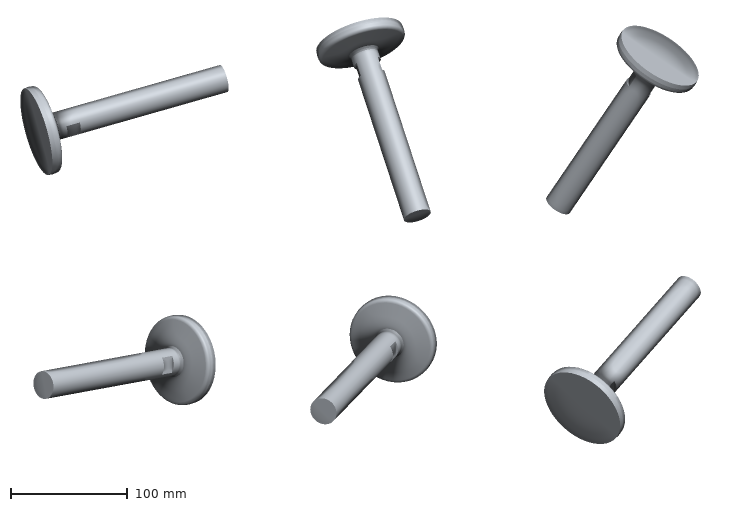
import cadquery as cq

TOTAL_LENGTH = 172.0
SHAFT_RADIUS = 24.0 / 2
FOOT_RADIUS = 78.0 / 2

SOLE_RADIUS = 38.5
WIDEST_HEIGHT = 4.1
RIM_HEIGHT = 6.7
RIM_RADIUS = 38.7
SHOULDER_HEIGHT = 10.0
SHOULDER_RADIUS = 36.0
SHOULDER_MID_HEIGHT = 9.0
SHOULDER_MID_RADIUS = 37.8

NECK_BOTTOM_HEIGHT = 13.6
NECK_BOTTOM_RADIUS = 13.5
NECK_MID_HEIGHT = 15.1
NECK_MID_RADIUS = 12.0
NECK_TOP_HEIGHT = 16.7
NECK_TOP_RADIUS = 11.4

FLATS_START = 24.0
FLATS_LENGTH = 12.2
ACROSS_FLATS = 19.1


def make_body():
    """Revolve the half profile of the foot, neck and shaft about Y."""
    profile = (
        cq.Workplane("XY")
        .lineTo(SOLE_RADIUS, 0)
        .lineTo(FOOT_RADIUS, WIDEST_HEIGHT)
        .lineTo(RIM_RADIUS, RIM_HEIGHT)
        .threePointArc((SHOULDER_MID_RADIUS, SHOULDER_MID_HEIGHT), (SHOULDER_RADIUS, SHOULDER_HEIGHT))
        .lineTo(NECK_BOTTOM_RADIUS, NECK_BOTTOM_HEIGHT)
        .lineTo(NECK_MID_RADIUS, NECK_MID_HEIGHT)
        .lineTo(NECK_TOP_RADIUS, NECK_TOP_HEIGHT)
        .lineTo(SHAFT_RADIUS, NECK_TOP_HEIGHT)
        .lineTo(SHAFT_RADIUS, TOTAL_LENGTH)
        .lineTo(0, TOTAL_LENGTH)
        .close()
    )
    return profile.revolve(360, (0, 0, 0), (0, 1, 0))


def cut_wrench_flats(body):
    """Cut two parallel flats facing -X and +X."""
    for side in (-1, 1):
        block_center_x = side * (ACROSS_FLATS / 2 + SHAFT_RADIUS / 2)
        block = cq.Workplane("XY").box(SHAFT_RADIUS, FLATS_LENGTH, 2 * SHAFT_RADIUS)
        body = body.cut(block.translate((block_center_x, FLATS_START + FLATS_LENGTH / 2, 0)))
    return body


result = cut_wrench_flats(make_body())